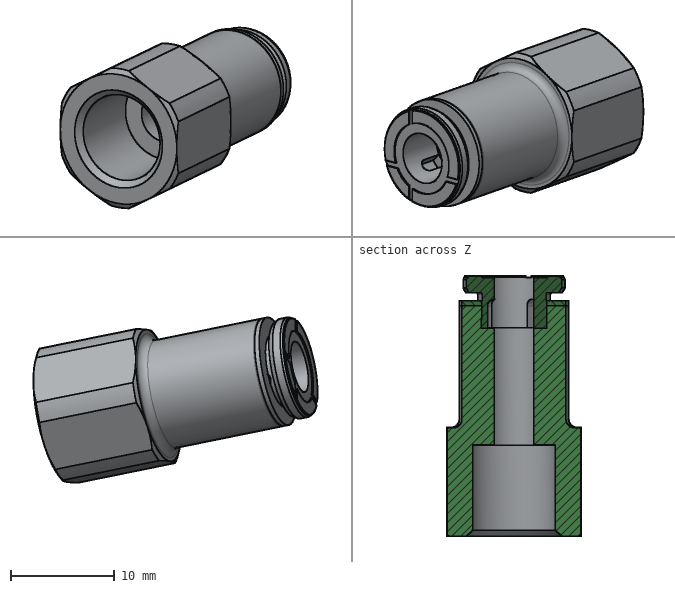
import cadquery as cq
import math


total_length = 25.2
hex_length = 10.53
body_length = 22.33
collar_end = 22.8
flange_start = 23.55
flange_face = 25.05
neck_start = 20.15

across_flats = 13.0
flat_radius = across_flats / 2
corner_radius = 7.0
half_corner_angle = 30.0
hex_chamfer_angle = 30.0
hex_chamfer_length = (corner_radius - flat_radius) * math.tan(math.radians(hex_chamfer_angle))
tube_radius = 5.32
tube_fillet = 0.78
rim_chamfer_length = 0.15
rim_chamfer_width = 0.013

through_radius = 2.5
socket_radius = 4.28
socket_depth = 8.82
socket_chamfer = 0.6

neck_radius = 3.53
neck_fillet = 0.13
flange_radius = 4.95
flange_back_radius = 4.65
flange_back_length = 0.48
flange_bevel_width = 0.1
flange_bevel_length = 0.23
slit_width = 1.25
slit_end = 22.95
slit_angle = 45.0

band_outer_radius = 4.76
band_inner_radius = 3.53
band_gap_width = 0.5
band_gap_offset = 1.4


def cylinder(radius, start, end):
    """Cylinder on the Y axis between two positions."""
    plane = cq.Workplane("XZ", origin=(0, start, 0))
    return plane.circle(radius).extrude(start - end)


def revolve_about_y(profile):
    """Full turn of a closed XY profile about the Y axis."""
    return profile.revolve(360, (0, 0, 0), (0, 1, 0))


def make_hex():
    """Hexagon with rounded corners, flats on +-X and both ends chamfered."""
    across_corners = across_flats / math.cos(math.radians(half_corner_angle))
    prism = cq.Workplane("XZ").polygon(6, across_corners).extrude(-hex_length)
    prism = prism.rotate((0, 0, 0), (0, 1, 0), half_corner_angle)
    envelope = revolve_about_y(
        cq.Workplane("XY")
        .moveTo(0, 0)
        .lineTo(flat_radius, 0)
        .lineTo(corner_radius, hex_chamfer_length)
        .lineTo(corner_radius, hex_length - hex_chamfer_length)
        .lineTo(flat_radius, hex_length)
        .lineTo(0, hex_length)
        .close()
    )
    return prism.intersect(envelope)


def make_tube():
    """Round tube behind the hex, with a concave root fillet and a fine rim chamfer."""
    fillet_end = hex_length + tube_fillet
    return revolve_about_y(
        cq.Workplane("XY")
        .moveTo(0, hex_length)
        .lineTo(tube_radius + tube_fillet, hex_length)
        .radiusArc((tube_radius, fillet_end), tube_fillet)
        .lineTo(tube_radius, body_length - rim_chamfer_length)
        .lineTo(tube_radius - rim_chamfer_width, body_length)
        .lineTo(0, body_length)
        .close()
    )


def make_body():
    """Hex body with a chamfered socket, a through hole and a recess for the button neck."""
    socket = revolve_about_y(
        cq.Workplane("XY")
        .moveTo(0, 0)
        .lineTo(socket_radius + socket_chamfer, 0)
        .lineTo(socket_radius, socket_chamfer)
        .lineTo(socket_radius, socket_depth)
        .lineTo(0, socket_depth)
        .close()
    )
    body = make_hex().union(make_tube())
    body = body.cut(socket)
    body = body.cut(cylinder(through_radius, 0, body_length))
    return body.cut(cylinder(neck_radius, neck_start, body_length))


def make_collar():
    """Plain ring closing the rear end of the body."""
    ring = cylinder(tube_radius, body_length, collar_end)
    return ring.cut(cylinder(neck_radius, body_length, collar_end))


def make_face_band():
    """Low raised band on the button face, crossed by one gap along Z and one along X."""
    band = cylinder(band_outer_radius, flange_face, total_length)
    band = band.cut(cylinder(band_inner_radius, flange_face, total_length))
    height = total_length - flange_face
    middle = flange_face + height / 2
    length = 2 * flange_radius
    gap_along_z = cq.Workplane("XY").box(band_gap_width, height, length)
    gap_along_x = cq.Workplane("XY").box(length, height, band_gap_width)
    band = band.cut(gap_along_z.translate((band_gap_offset, middle, 0)))
    return band.cut(gap_along_x.translate((0, middle, -band_gap_offset)))


def make_slit():
    """Round-ended slit passing diagonally through both sides of the neck."""
    round_centre = slit_end - slit_width / 2
    return (
        cq.Workplane("XY")
        .moveTo(-slit_width / 2, neck_start)
        .lineTo(slit_width / 2, neck_start)
        .lineTo(slit_width / 2, round_centre)
        .threePointArc((0, slit_end), (-slit_width / 2, round_centre))
        .close()
        .extrude(flange_radius, both=True)
        .rotate((0, 0, 0), (0, 1, 0), -slit_angle)
    )


def make_button():
    """Release button: slit neck, bevelled flange and raised face band."""
    button = revolve_about_y(
        cq.Workplane("XY")
        .moveTo(through_radius, neck_start)
        .lineTo(neck_radius, neck_start)
        .lineTo(neck_radius, flange_start - neck_fillet)
        .radiusArc((neck_radius + neck_fillet, flange_start), neck_fillet)
        .lineTo(flange_back_radius, flange_start)
        .lineTo(flange_radius, flange_start + flange_back_length)
        .lineTo(flange_radius, flange_face - flange_bevel_length)
        .lineTo(flange_radius - flange_bevel_width, flange_face)
        .lineTo(through_radius, flange_face)
        .close()
    )
    return button.cut(make_slit()).union(make_face_band())


body = make_body()
collar = make_collar()
button = make_button()

result = cq.Compound.makeCompound([body.solids().val(), collar.solids().val(), button.solids().val()])